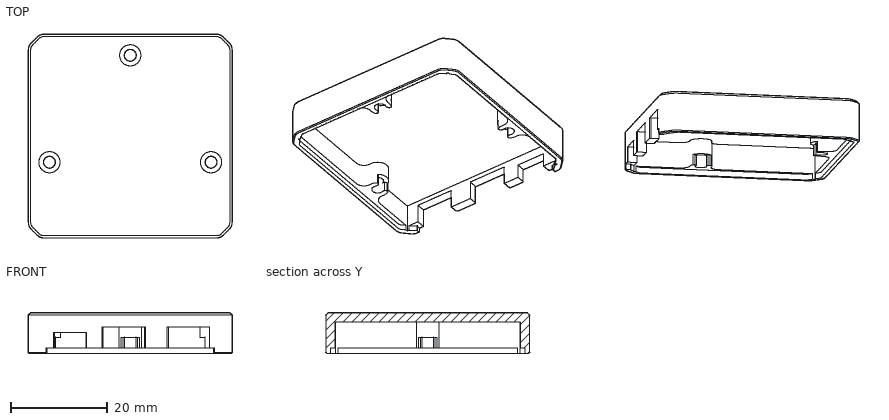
import cadquery as cq

side = 42.3
height = 8.55
half_side = side / 2
corner_cut = 2.45
corner_round = 2.05
top_chamfer = 0.5
bottom_chamfer = 0.2

front_wall = 2.0
roof = 2.0
cavity_half = half_side - front_wall
cavity_top = height - roof
overshoot = 0.42

rim = 1.0
seat_depth = 1.2
mouth_half = 17.43

screw_hole_dia = 2.4
countersink_dia = 4.4
lug_half_width = 2.3
lug_fillet = 1.95
lug_step_z = 3.4
lug_step_reach = 1.25
slot_half_width = 1.15
slot_chamfer = 0.35
screw_offset = 16.75
side_screw_y = -5.4

lugs = [
    (0, screw_offset, 0),
    (-screw_offset, side_screw_y, 90),
    (screw_offset, side_screw_y, -90),
]

windows = [
    (-15.7, -9.22, 4.4, 0.15, 0.15),
    (-5.65, 3.0, 5.5, 0.15, 0.15),
    (7.9, 16.4, 5.5, 0.35, 0.0),
]


def make_body():
    block = cq.Workplane("XY").box(side, side, height, centered=(True, True, False))
    block = block.edges("|Z").chamfer(corner_cut)
    block = block.edges("|Z").fillet(corner_round)
    block = block.faces(">Z").chamfer(top_chamfer)
    return block.faces("<Z").chamfer(bottom_chamfer)


def make_cavity():
    length = cavity_half + half_side - front_wall
    return (
        cq.Workplane("XY")
        .box(2 * cavity_half, length, cavity_top + overshoot, centered=(True, False, False))
        .translate((0, front_wall - half_side, -overshoot))
    )


def make_seat():
    seat_side = side - 2 * rim
    seat = cq.Workplane("XY").box(seat_side, seat_side, seat_depth, centered=(True, True, False))
    seat = seat.edges("|Z").chamfer(corner_cut)
    return seat.edges("|Z").fillet(corner_round - rim)


def make_mouth():
    """Opening that carries the plate seat out through the front rim."""
    mouth = cq.Workplane("XY").box(2 * mouth_half, rim, seat_depth, centered=(True, False, False))
    return mouth.translate((0, -half_side, 0))


def make_window(left, right, top, left_chamfer, right_chamfer):
    """Cutter through the front wall whose upright outer edges may be chamfered."""
    front = -half_side
    inside = front + front_wall
    points = [(left - left_chamfer, front), (right + right_chamfer, front)]
    if right_chamfer:
        points.append((right, front + right_chamfer))
    points += [(right, inside), (left, inside), (left, front + left_chamfer)]
    return cq.Workplane("XY").polyline(points).close().extrude(top)


def place(shape, x, y, turn):
    return shape.rotate((0, 0, 0), (0, 0, 1), turn).translate((x, y, 0))


def make_lug():
    """Lug around a screw at the origin, joined to a wall on its +Y side by concave fillets."""
    wall_y = cavity_half - screw_offset
    fillet_y = wall_y - lug_fillet
    outer_x = lug_half_width + lug_fillet
    outline = (
        cq.Workplane("XY")
        .workplane(offset=seat_depth)
        .moveTo(-outer_x, wall_y)
        .radiusArc((-lug_half_width, fillet_y), lug_fillet)
        .lineTo(-lug_half_width, 0)
        .threePointArc((0, -lug_half_width), (lug_half_width, 0))
        .lineTo(lug_half_width, fillet_y)
        .radiusArc((outer_x, wall_y), lug_fillet)
        .close()
    )
    return outline.extrude(cavity_top - seat_depth).cut(make_lug_step())


def make_lug_step():
    """Material taken off the lower lug: the rounded end and a slot into the screw hole."""
    end_y = -lug_step_reach
    front_y = -lug_half_width - overshoot
    right_side = [
        (lug_half_width, front_y),
        (lug_half_width, end_y),
        (slot_half_width + slot_chamfer, end_y),
        (slot_half_width, end_y + slot_chamfer),
        (slot_half_width, 0),
    ]
    left_side = [(-x, y) for x, y in reversed(right_side)]
    base = cq.Workplane("XY").workplane(offset=seat_depth)
    return base.polyline(right_side + left_side).close().extrude(lug_step_z - seat_depth)


def make_screw_hole():
    hole = cq.Workplane("XY").circle(screw_hole_dia / 2).extrude(height)
    sink_depth = (countersink_dia - screw_hole_dia) / 2
    sink = cq.Solid.makeCone(
        screw_hole_dia / 2, countersink_dia / 2, sink_depth, cq.Vector(0, 0, height - sink_depth)
    )
    return hole.union(cq.Workplane(sink))


result = make_body().cut(make_cavity()).cut(make_seat()).cut(make_mouth())

for left, right, top, left_chamfer, right_chamfer in windows:
    result = result.cut(make_window(left, right, top, left_chamfer, right_chamfer))

for x, y, turn in lugs:
    result = result.union(place(make_lug(), x, y, turn))
    result = result.cut(place(make_screw_hole(), x, y, turn))